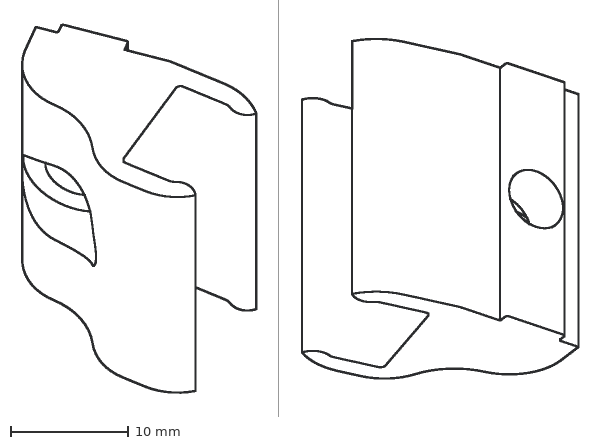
import cadquery as cq
import math

length = 25.0

slot_half = 5.0
arm_thickness = 2.0
outer_half = slot_half + arm_thickness
slot_corner_radius = 0.45
arm_straight_end = 3.32
tip_x = 7.4
tip_half = 5.35
lip_start_x = 4.9
lip_blend_radius = 1.0
lip_peak_x = 6.0
lip_half = 4.6

lower_arc_start = 1.2
lower_arc_radius = 5.0
waist_radius = 6.42
front_sweep = math.radians(55.0)
nose_radius = 5.28
nose_sweep = math.radians(77.7)

tilt = math.radians(10.0)
back_corner = (-13.82, 4.9)
pad_start = 2.0
pad_end = 8.0
pad_height = 1.0
pad_corner_radius = 0.2

hole_diameter = 5.5
counterbore_diameter = 9.5
seat_thickness = 5.0
cutter_length = 20.0


def on_back(along, out):
    """Point measured along the tilted back face and outward from it."""
    x = back_corner[0] + along * math.cos(tilt) - out * math.sin(tilt)
    y = back_corner[1] + along * math.sin(tilt) + out * math.cos(tilt)
    return (x, y)


def on_circle(center, radius, angle):
    """Point on a circle at the given angle from +X."""
    return (center[0] + radius * math.cos(angle), center[1] + radius * math.sin(angle))


def make_body():
    down = -math.pi / 2
    up = math.pi / 2

    lower_center = (lower_arc_start, lower_arc_radius - outer_half)
    inflection = on_circle(lower_center, lower_arc_radius, down - front_sweep)
    waist_center = on_circle(lower_center, lower_arc_radius + waist_radius, down - front_sweep)
    waist_top = on_circle(waist_center, waist_radius, up)
    nose_center = (waist_top[0], waist_top[1] + nose_radius)

    slope_end = (outer_half - back_corner[1]) / math.sin(tilt)

    tip_run = tip_x - arm_straight_end
    tip_drop = outer_half - tip_half
    tip_radius = (tip_run**2 + tip_drop**2) / (2 * tip_drop)
    half_turn = math.asin(tip_run / tip_radius) / 2
    tip_mid_x = arm_straight_end + tip_radius * math.sin(half_turn)
    tip_mid_half = outer_half - tip_radius * (1 - math.cos(half_turn))

    outline = (
        cq.Workplane("XY")
        .moveTo(0, -slot_half)
        .lineTo(lip_start_x, -slot_half)
        .threePointArc((lip_peak_x, -lip_half), (tip_x, -tip_half))
        .threePointArc((tip_mid_x, -tip_mid_half), (arm_straight_end, -outer_half))
        .lineTo(lower_arc_start, -outer_half)
        .threePointArc(on_circle(lower_center, lower_arc_radius, down - front_sweep / 2), inflection)
        .threePointArc(on_circle(waist_center, waist_radius, up - front_sweep / 2), waist_top)
        .threePointArc(
            on_circle(nose_center, nose_radius, down - nose_sweep / 2),
            on_circle(nose_center, nose_radius, down - nose_sweep),
        )
        .lineTo(*back_corner)
        .lineTo(*on_back(pad_start, 0))
        .lineTo(*on_back(pad_start, pad_height))
        .lineTo(*on_back(pad_end, pad_height))
        .lineTo(*on_back(pad_end, 0))
        .lineTo(*on_back(slope_end, 0))
        .lineTo(arm_straight_end, outer_half)
        .threePointArc((tip_mid_x, tip_mid_half), (tip_x, tip_half))
        .threePointArc((lip_peak_x, lip_half), (lip_start_x, slot_half))
        .lineTo(0, slot_half)
        .close()
    )
    return outline.extrude(length)


def fillet_edge_at(body, point, radius):
    """Round the lengthwise edge standing at the given outline point."""
    nearest = cq.selectors.NearestToPointSelector((*point, length / 2))
    return body.edges("|Z").edges(nearest).fillet(radius)


def hole_cutter(diameter, start_out, distance):
    """Cylinder on the screw axis, running from the back face toward the front."""
    pad_middle = (pad_start + pad_end) / 2
    start = cq.Vector(*on_back(pad_middle, start_out), length / 2)
    toward_front = cq.Vector(math.sin(tilt), -math.cos(tilt), 0)
    return cq.Workplane(cq.Solid.makeCylinder(diameter / 2, distance, start, toward_front))


body = make_body()
for side in (-1, 1):
    body = fillet_edge_at(body, (0, side * slot_half), slot_corner_radius)
    body = fillet_edge_at(body, (lip_start_x, side * slot_half), lip_blend_radius)
body = fillet_edge_at(body, on_back(pad_start, 0), pad_corner_radius)
for along in (pad_start, pad_end):
    body = fillet_edge_at(body, on_back(along, pad_height), pad_corner_radius)

through_hole = hole_cutter(hole_diameter, 2 * pad_height, cutter_length)
counterbore = hole_cutter(counterbore_diameter, pad_height - seat_thickness, cutter_length)
result = body.cut(through_hole).cut(counterbore)